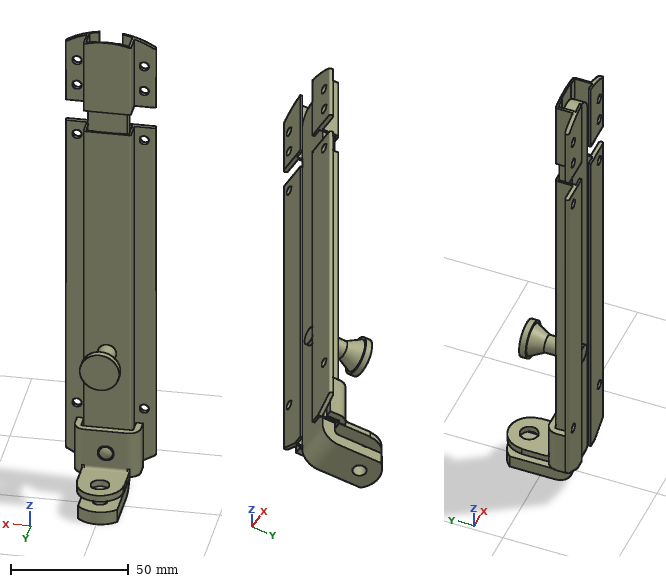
import cadquery as cq

total_height = 220.46
total_depth = 35.46

channel_width = 20.5
channel_depth = 10.0
channel_wall = 1.0
channel_corner_radius = 0.75
flange_span = 39.0
flange_thickness = 2.0
slot_width = 10.0
groove_depth = 0.25
cavity_width = channel_width - 2 * channel_wall
ceiling_y = channel_depth - channel_wall
groove_floor_y = ceiling_y + groove_depth

housing_bottom = 11.46
keeper_length = 34.0
housing_keeper_gap = 10.0
keeper_bottom = total_height - keeper_length
housing_top = keeper_bottom - housing_keeper_gap
flange_cut_height = 5.6
flange_cut_inner_x = 9.7
keeper_crown_radius = 36.0

screw_hole_diameter = 4.0
screw_hole_x = 14.5
keeper_screw_z = [total_height - 14.3, total_height - 26.3]
housing_screw_z = [total_height - 50.3, 39.2]

bolt_width = 17.0
bolt_thickness = 6.0
bolt_back_y = ceiling_y
bolt_front_y = bolt_back_y - bolt_thickness
bolt_top = total_height - 7.4
bend_outer_radius = 8.0
bend_inner_radius = bend_outer_radius - bolt_thickness
foot_end_radius = 11.5
foot_hole_diameter = 6.0

knob_z = 69.4
knob_stem_diameter = 8.0
knob_head_diameter = 17.0
knob_front_y = 1.4
knob_neck_y = 17.8
knob_rim_y = 24.4
knob_end_y = 27.4
knob_flare_end_radius = 7.4

bracket_thickness = 3.0
bracket_half_width = 14.25
bracket_side_end_y = 3.3
bracket_back_y = channel_depth + bracket_thickness
bracket_bottom = housing_bottom
bracket_top = 32.8
bracket_outer_radius = 5.0
bracket_inner_radius = 1.0
tab_bottom = 11.1
tab_bend_radius = 1.3
tab_radius = 10.0
tab_half_width = channel_width / 2
tab_hole_diameter = 8.0
tab_center_y = total_depth - tab_radius
eye_y = total_depth - 9.3

rivet_z = (bracket_bottom + bracket_top) / 2
rivet_shank_diameter = 6.0
rivet_head_diameter = 7.0
rivet_head_height = 1.3


def box_between(x_range, y_range, z_range):
    """Box spanning the given (low, high) ranges."""
    size = [high - low for low, high in (x_range, y_range, z_range)]
    corner = (x_range[0], y_range[0], z_range[0])
    return cq.Workplane("XY").box(*size, centered=False).translate(corner)


def rod_along_y(diameter, x, z, y_start, y_end):
    """Cylinder parallel to Y between two Y positions."""
    axis_plane = cq.Workplane(cq.Plane((x, y_start, z), (1, 0, 0), (0, 1, 0)))
    return axis_plane.circle(diameter / 2).extrude(y_end - y_start)


def channel(bottom, top, screw_z):
    """Slotted box channel with two round-edged screw flanges and a shallow groove in its back."""
    half_width = channel_width / 2
    height = top - bottom
    body = box_between((-half_width, half_width), (0, channel_depth), (bottom, top))
    body = body.edges("|Z and >Y").fillet(channel_corner_radius)
    flange_plane = cq.Workplane("XY", (0, flange_thickness / 2, bottom))
    flanges = flange_plane.slot2D(flange_span, flange_thickness).extrude(height)
    half_cavity = cavity_width / 2
    cavity = box_between((-half_cavity, half_cavity), (channel_wall, ceiling_y), (bottom, top))
    half_slot = slot_width / 2
    slot = box_between((-half_slot, half_slot), (0, channel_wall), (bottom, top))
    groove = box_between((-half_slot, half_slot), (ceiling_y, groove_floor_y), (bottom, top))
    body = body.union(flanges).cut(cavity).cut(slot).cut(groove)
    for side in (-1, 1):
        for z in screw_z:
            screw_hole = rod_along_y(screw_hole_diameter, side * screw_hole_x, z, 0, flange_thickness)
            body = body.cut(screw_hole)
    return body


def make_housing():
    """Main channel with its lower flange corners cut off at an angle."""
    body = channel(housing_bottom, housing_top, housing_screw_z)
    half_span = flange_span / 2
    for side in (-1, 1):
        corner_cut = (
            cq.Workplane("XZ")
            .moveTo(side * half_span, housing_bottom)
            .lineTo(side * half_span, housing_bottom + flange_cut_height)
            .lineTo(side * flange_cut_inner_x, housing_bottom)
            .close()
            .extrude(-flange_thickness)
        )
        body = body.cut(corner_cut)
    body = body.cut(rod_along_y(knob_stem_diameter, 0, knob_z, ceiling_y, channel_depth))
    return body.cut(rod_along_y(rivet_shank_diameter, 0, rivet_z, ceiling_y, channel_depth))


def make_keeper():
    """Short upper channel with a rounded crown."""
    body = channel(keeper_bottom, total_height, keeper_screw_z)
    crown_z = total_height - keeper_crown_radius
    crown = rod_along_y(2 * keeper_crown_radius, 0, crown_z, 0, channel_depth)
    return body.intersect(crown)


def make_bolt():
    """Flat bar with a round upper end and a bent foot with a padlock hole."""
    half_width = bolt_width / 2
    side_profile = (
        cq.Workplane("YZ")
        .moveTo(bolt_front_y, bolt_top)
        .lineTo(bolt_front_y, 0)
        .lineTo(total_depth, 0)
        .lineTo(total_depth, bolt_thickness)
        .lineTo(bolt_back_y, bolt_thickness)
        .lineTo(bolt_back_y, bolt_top)
        .close()
        .extrude(half_width, both=True)
    )
    outer_corner = cq.selectors.NearestToPointSelector((0, bolt_front_y, 0))
    bar = side_profile.edges(outer_corner).fillet(bend_outer_radius)
    inner_corner = cq.selectors.NearestToPointSelector((0, bolt_back_y, bolt_thickness))
    bar = bar.edges(inner_corner).fillet(bend_inner_radius)
    round_top_z = bolt_top - half_width
    bar_outline = rod_along_y(bolt_width, 0, round_top_z, 0, total_depth).union(
        box_between((-half_width, half_width), (0, total_depth), (0, round_top_z))
    )
    foot_center_y = total_depth - foot_end_radius
    foot_end = cq.Workplane("XY", (0, foot_center_y, 0)).circle(foot_end_radius).extrude(bolt_top)
    foot_outline = foot_end.union(
        box_between((-half_width, half_width), (0, foot_center_y), (0, bolt_top))
    )
    foot_hole = cq.Workplane("XY", (0, eye_y, 0)).circle(foot_hole_diameter / 2).extrude(bolt_thickness)
    stem_hole = rod_along_y(knob_stem_diameter, 0, knob_z, bolt_front_y, bolt_back_y)
    return bar.intersect(bar_outline).intersect(foot_outline).cut(foot_hole).cut(stem_hole)


def make_knob():
    """Turned knob: straight stem, flared neck and flat rim."""
    stem_radius = knob_stem_diameter / 2
    head_radius = knob_head_diameter / 2
    return (
        cq.Workplane("XY")
        .moveTo(0, knob_front_y)
        .lineTo(stem_radius, knob_front_y)
        .lineTo(stem_radius, knob_neck_y)
        .lineTo(knob_flare_end_radius, knob_rim_y)
        .lineTo(head_radius, knob_rim_y)
        .lineTo(head_radius, knob_end_y)
        .lineTo(0, knob_end_y)
        .close()
        .revolve(360, (0, 0, 0), (0, 1, 0))
        .translate((0, 0, knob_z))
    )


def make_bracket():
    """Saddle around the housing with a round-ended padlock tab at its lower end."""
    outer_x = bracket_half_width
    inner_x = outer_x - bracket_thickness
    heights = (bracket_bottom, bracket_top)
    saddle = box_between((-outer_x, outer_x), (bracket_side_end_y, bracket_back_y), heights)
    saddle = saddle.edges("|Z and >Y").fillet(bracket_outer_radius)
    hollow = box_between((-inner_x, inner_x), (bracket_side_end_y, channel_depth), heights)
    hollow = hollow.edges("|Z and >Y").fillet(bracket_inner_radius)
    tab_top = tab_bottom + bracket_thickness
    tab = box_between((-tab_half_width, tab_half_width), (channel_depth, tab_center_y), (tab_bottom, tab_top))
    tab_end = cq.Workplane("XY", (0, tab_center_y, tab_bottom)).circle(tab_radius).extrude(bracket_thickness)
    bend_fill = (
        cq.Workplane("YZ")
        .moveTo(bracket_back_y, tab_top)
        .lineTo(bracket_back_y + tab_bend_radius, tab_top)
        .radiusArc((bracket_back_y, tab_top + tab_bend_radius), tab_bend_radius)
        .close()
        .extrude(tab_half_width, both=True)
    )
    eye = cq.Workplane("XY", (0, eye_y, tab_bottom)).circle(tab_hole_diameter / 2).extrude(bracket_thickness)
    rivet_hole = rod_along_y(rivet_shank_diameter, 0, rivet_z, channel_depth, bracket_back_y)
    return saddle.cut(hollow).union(tab).union(tab_end).union(bend_fill).cut(eye).cut(rivet_hole)


def make_rivet():
    """Shank through the bracket and the housing back, with a domed head."""
    shank_radius = rivet_shank_diameter / 2
    head_radius = rivet_head_diameter / 2
    dome_radius = (head_radius**2 + rivet_head_height**2) / (2 * rivet_head_height)
    return (
        cq.Workplane("XY")
        .moveTo(0, groove_floor_y)
        .lineTo(shank_radius, groove_floor_y)
        .lineTo(shank_radius, bracket_back_y)
        .lineTo(head_radius, bracket_back_y)
        .radiusArc((0, bracket_back_y + rivet_head_height), -dome_radius)
        .close()
        .revolve(360, (0, 0, 0), (0, 1, 0))
        .translate((0, 0, rivet_z))
    )


bodies = [make_housing(), make_keeper(), make_bolt(), make_knob(), make_bracket(), make_rivet()]
result = cq.Compound.makeCompound([body.val() for body in bodies])